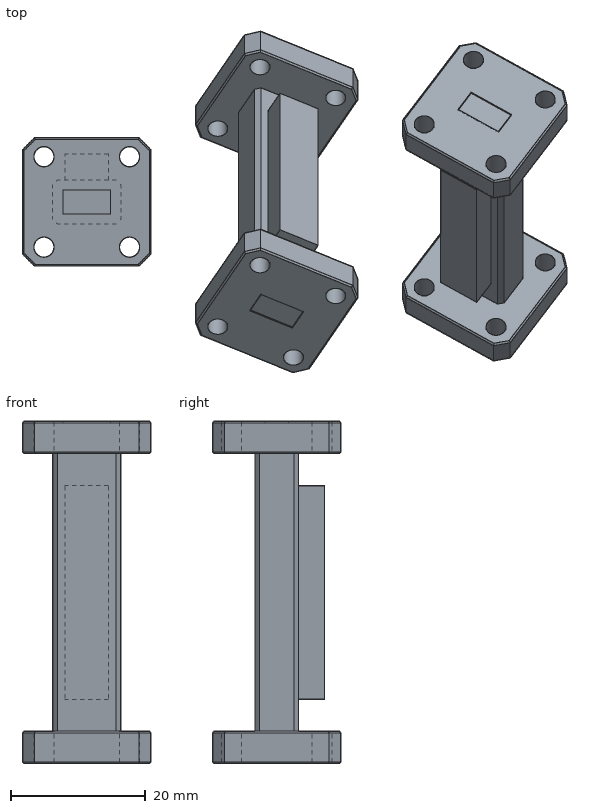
import cadquery as cq

total_length = 50.8

flange_side = 19.05
flange_thickness = 4.85
flange_corner_chamfer = 1.8
flange_edge_chamfer = 0.25

bolt_hole_diameter = 2.95
bolt_spacing_x = 12.7
bolt_spacing_y = 13.4

tube_width = 10.15
tube_depth = 6.5
tube_corner_chamfer = 0.7

window_width = 7.1
window_height = window_width / 2
window_depth = 0.25

block_width = 6.4
block_depth = 3.85
block_length = 31.7


def make_flange(bottom_z):
    """Square plate with cut corners, bevelled rims and four bolt holes."""
    plate = (
        cq.Workplane("XY", origin=(0, 0, bottom_z))
        .rect(flange_side, flange_side)
        .extrude(flange_thickness)
        .edges("|Z").chamfer(flange_corner_chamfer)
        .faces("<Z or >Z").chamfer(flange_edge_chamfer)
    )
    bolt_holes = (
        cq.Workplane("XY", origin=(0, 0, bottom_z))
        .rect(bolt_spacing_x, bolt_spacing_y, forConstruction=True)
        .vertices()
        .circle(bolt_hole_diameter / 2)
        .extrude(flange_thickness)
    )
    return plate.cut(bolt_holes)


def make_window(bottom_z):
    """Cutter for the window recess in one end face."""
    return (
        cq.Workplane("XY", origin=(0, 0, bottom_z))
        .rect(window_width, window_height)
        .extrude(window_depth)
    )


def make_waveguide():
    """Tube and both flanges in one piece, with a window recess at each end."""
    bottom_end = -total_length / 2
    top_end = total_length / 2
    tube = (
        cq.Workplane("XY")
        .box(tube_width, tube_depth, total_length - 2 * flange_thickness)
        .edges("|Z").chamfer(tube_corner_chamfer)
    )
    body = tube.union(make_flange(bottom_end)).union(make_flange(top_end - flange_thickness))
    return body.cut(make_window(bottom_end)).cut(make_window(top_end - window_depth))


def make_side_block():
    """Plain block resting against the +Y face of the tube."""
    centre_y = (tube_depth + block_depth) / 2
    return cq.Workplane("XY", origin=(0, centre_y, 0)).box(block_width, block_depth, block_length)


waveguide = make_waveguide()
side_block = make_side_block()

result = cq.Compound.makeCompound([waveguide.solids().val(), side_block.val()])